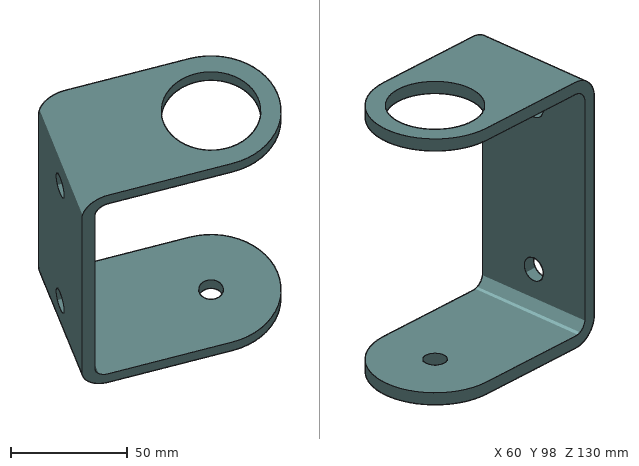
import cadquery as cq

width = 60.0
depth = 98.0
height = 130.0
thickness = 6.0

outer_bend_radius = 12.0
inner_bend_radius = outer_bend_radius - thickness

large_hole_diameter = 42.6
small_hole_diameter = 10.5
mounting_hole_diameter = 11.0
mounting_hole_spacing = 80.0

flange_end_radius = width / 2
flange_center_y = depth - flange_end_radius


def bent_strap():
    """U-shaped strap of constant thickness, with rounded bends."""
    outer = (
        cq.Workplane("XY")
        .box(width, depth, height, centered=(True, False, True))
        .edges("|X and <Y")
        .fillet(outer_bend_radius)
    )
    inner = (
        cq.Workplane("XY")
        .box(width, depth, height - 2 * thickness, centered=(True, False, True))
        .edges("|X and <Y")
        .fillet(inner_bend_radius)
        .translate((0, thickness, 0))
    )
    return outer.cut(inner)


def rounded_outline():
    """Upright block whose plan has the semicircular end of the flanges."""
    return (
        cq.Workplane("XY")
        .workplane(offset=-height / 2)
        .moveTo(-width / 2, 0)
        .lineTo(width / 2, 0)
        .lineTo(width / 2, flange_center_y)
        .threePointArc((0, depth), (-width / 2, flange_center_y))
        .close()
        .extrude(height)
    )


def flange_hole(diameter, bottom_z):
    """Cutter through one flange, concentric with its rounded end."""
    return (
        cq.Workplane("XY", origin=(0, flange_center_y, bottom_z))
        .circle(diameter / 2)
        .extrude(thickness)
    )


def mounting_holes():
    """Pair of cutters through the back plate."""
    return (
        cq.Workplane("XZ", origin=(0, thickness, 0))
        .rarray(1.3, mounting_hole_spacing, 1, 2)
        .circle(mounting_hole_diameter / 2)
        .extrude(thickness)
    )


result = (
    bent_strap()
    .intersect(rounded_outline())
    .cut(flange_hole(large_hole_diameter, height / 2 - thickness))
    .cut(flange_hole(small_hole_diameter, -height / 2))
    .cut(mounting_holes())
)